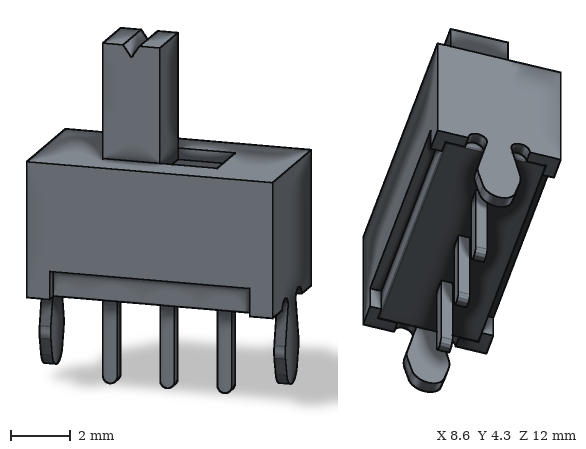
import cadquery as cq


overall_height = 12.0

shell_length = 8.6
shell_width = 4.3
shell_height = 4.7
sheet = 0.4

slider_size = 2.0
window_length = 2 * slider_size
window_width = slider_size

side_notch_length = 7.0
side_notch_height = 0.97

tab_neck_half = 0.42
tab_bulge_half = 0.75
tab_shoulder_half = 0.72
tab_upper_shoulder_z = -1.35
tab_lower_shoulder_z = -1.78
tab_tip_half = 0.56
tab_tip_start_z = -2.38
tab_tip_z = -2.82
relief_radius = 0.32

slider_height = 4.0
slider_x = -slider_size / 2
groove_width = 0.58
groove_depth = 0.41

base_edge_radius = 0.05
pin_pitch = 2.0
pin_width = 0.5
pin_thickness = 0.4
pin_tip_z = shell_height + slider_height - overall_height

cavity_length = shell_length - 2 * sheet
cavity_width = shell_width - 2 * sheet
cavity_height = shell_height - sheet


def block(length, width, bottom, top):
    """Box centred on the Z axis between two heights."""
    return cq.Workplane("XY").workplane(offset=bottom).rect(length, width).extrude(top - bottom)


def tab(outer_x):
    """Bulb-shaped tab, one sheet thick, starting at outer_x and growing toward +X."""
    bulge_z = (tab_upper_shoulder_z + tab_lower_shoulder_z) / 2
    return (
        cq.Workplane("YZ", origin=(outer_x, 0, 0))
        .moveTo(-tab_neck_half, 0)
        .lineTo(-tab_shoulder_half, tab_upper_shoulder_z)
        .threePointArc((-tab_bulge_half, bulge_z), (-tab_shoulder_half, tab_lower_shoulder_z))
        .lineTo(-tab_tip_half, tab_tip_start_z)
        .threePointArc((0, tab_tip_z), (tab_tip_half, tab_tip_start_z))
        .lineTo(tab_shoulder_half, tab_lower_shoulder_z)
        .threePointArc((tab_bulge_half, bulge_z), (tab_shoulder_half, tab_upper_shoulder_z))
        .lineTo(tab_neck_half, 0)
        .close()
        .extrude(sheet)
    )


def tab_reliefs(outer_x):
    """Round reliefs in an end wall, one on each side of the tab neck."""
    relief_y = tab_neck_half + relief_radius
    return (
        cq.Workplane("YZ", origin=(outer_x, 0, 0))
        .pushPoints([(-relief_y, 0), (relief_y, 0)])
        .circle(relief_radius)
        .extrude(sheet)
    )


def make_shell():
    """Box open at the bottom, with a roof window, side notches and two tabs."""
    shell = block(shell_length, shell_width, 0, shell_height)
    shell = shell.cut(block(cavity_length, cavity_width, 0, cavity_height))
    shell = shell.cut(block(window_length, window_width, cavity_height, shell_height))
    shell = shell.cut(block(side_notch_length, shell_width, 0, side_notch_height))
    for outer_x in (-shell_length / 2, shell_length / 2 - sheet):
        shell = shell.cut(tab_reliefs(outer_x))
        shell = shell.union(tab(outer_x))
    return shell


def make_base():
    """Insulating block that fills the shell up to its roof, its lower edges slightly rounded."""
    return block(cavity_length, cavity_width, 0, cavity_height).edges("<Z").fillet(base_edge_radius)


def make_slider():
    """Square post standing on the base at the -X end of the window, V-grooved on top."""
    top = shell_height + slider_height
    post = block(slider_size, slider_size, cavity_height, top).translate((slider_x, 0, 0))
    groove = (
        cq.Workplane("XZ")
        .moveTo(slider_x - groove_width / 2, top)
        .lineTo(slider_x, top - groove_depth)
        .lineTo(slider_x + groove_width / 2, top)
        .close()
        .extrude(slider_size / 2, both=True)
    )
    return post.cut(groove)


def make_pin(x):
    """Flat terminal pin hanging from the base, with a round tip."""
    half = pin_width / 2
    round_start = pin_tip_z + half
    return (
        cq.Workplane("XZ", origin=(x, 0, 0))
        .moveTo(-half, 0)
        .lineTo(-half, round_start)
        .threePointArc((0, pin_tip_z), (half, round_start))
        .lineTo(half, 0)
        .close()
        .extrude(pin_thickness / 2, both=True)
    )


shell = make_shell()
base = make_base()
slider = make_slider()
pins = [make_pin(step * pin_pitch) for step in (-1, 0, 1)]

result = cq.Compound.makeCompound(
    [shell.val(), base.val(), slider.val(), *[pin.val() for pin in pins]]
)